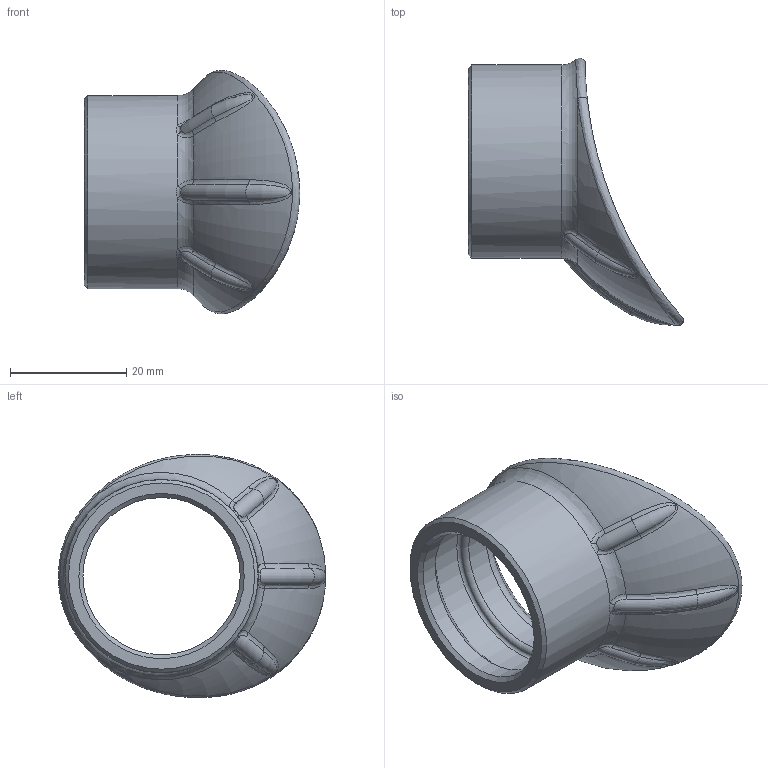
import cadquery as cq
import math

tube_radius = 16.65
tube_chamfer = 0.6

bore_radius = 13.55
lip_chamfer = 0.7
lip_end = 3.65
seat_radius = 15.0
seat_end = 10.9
seat_corner_radius = 0.55
bore_end = 16.0

neck_start = 16.1
neck_angle = math.radians(47.65)
neck_fillet = 3.75
flare_radius = 35.7
flare_thickness = 1.4
flare_sweep = math.radians(45)

saddle_radius = 68.0
saddle_x = 20.19
saddle_y = 18.0
rim_fillet = 1.0

rib_radius = 1.6
rib_height = 1.15
rib_base_fillet = 1.0
rib_start_slope = math.radians(58)
rib_dive_radius = 14.5
middle_rib_dive_x = 28.6
side_rib_dive_x = 22.9
rib_dive_sweep = math.radians(40)
side_rib_angle = 40.0

neck_end = (
    neck_start + neck_fillet * math.sin(neck_angle),
    tube_radius + neck_fillet * (1 - math.cos(neck_angle)),
)
flare_center = (
    neck_end[0] + flare_radius * math.sin(neck_angle),
    neck_end[1] - flare_radius * math.cos(neck_angle),
)
rib_path_radius = flare_radius + rib_height - rib_radius
flare_end_angle = neck_angle - flare_sweep


def arc_point(center, radius, slope):
    """Point of a circle where its tangent has the given slope; a negative radius takes the lower side."""
    return (center[0] - radius * math.sin(slope), center[1] + radius * math.cos(slope))


def revolve_about_x(profile):
    return profile.close().revolve(360, (0, 0, 0), (1, 0, 0))


def make_outside():
    """Solid of the tube, the neck fillet and the flare, without the bore."""
    neck_center = (neck_start, tube_radius + neck_fillet)
    neck_middle = arc_point(neck_center, -neck_fillet, neck_angle / 2)
    flare_middle = arc_point(flare_center, flare_radius, neck_angle - flare_sweep / 2)
    flare_end = arc_point(flare_center, flare_radius, flare_end_angle)
    profile = (
        cq.Workplane("XY")
        .lineTo(0, tube_radius - tube_chamfer)
        .lineTo(tube_chamfer, tube_radius)
        .lineTo(neck_start, tube_radius)
        .threePointArc(neck_middle, neck_end)
        .threePointArc(flare_middle, flare_end)
        .lineTo(flare_end[0], 0)
    )
    return revolve_about_x(profile)


def make_saddle():
    return (
        cq.Workplane("XY")
        .center(saddle_x + saddle_radius, saddle_y)
        .circle(saddle_radius)
        .extrude(saddle_radius, both=True)
    )


def make_rib(dive_x, angle):
    """Round bar along the flare; it dives below the surface from dive_x on."""
    dive_slope = math.asin((flare_center[0] - dive_x) / rib_path_radius)
    end_slope = dive_slope - rib_dive_sweep
    start = arc_point(flare_center, rib_path_radius, rib_start_slope)
    middle = arc_point(flare_center, rib_path_radius, (rib_start_slope + dive_slope) / 2)
    dive = arc_point(flare_center, rib_path_radius, dive_slope)
    dive_center = arc_point(dive, -rib_dive_radius, dive_slope)
    dive_middle = arc_point(dive_center, rib_dive_radius, dive_slope - rib_dive_sweep / 2)
    end = arc_point(dive_center, rib_dive_radius, end_slope)
    path = cq.Workplane("XY").moveTo(*start).threePointArc(middle, dive).threePointArc(dive_middle, end)
    section_plane = cq.Plane(
        origin=(start[0], start[1], 0),
        xDir=(0, 0, 1),
        normal=(math.cos(rib_start_slope), math.sin(rib_start_slope), 0),
    )
    rib = cq.Workplane(section_plane).circle(rib_radius).sweep(path)
    return rib.rotate((0, 0, 0), (1, 0, 0), 180 + angle)


def make_bore():
    """Space inside the part: lip chamfer, seat, through bore and the inside of the flare."""
    inner_radius = flare_radius - flare_thickness
    offset_x = flare_center[0] - bore_end
    offset_r = bore_radius - flare_center[1]
    mouth_radius = (offset_x**2 + offset_r**2 - inner_radius**2) / (2 * (inner_radius - offset_r))
    mouth_center = (bore_end, bore_radius + mouth_radius)
    mouth_angle = math.asin(offset_x / (inner_radius + mouth_radius))
    mouth_middle = arc_point(mouth_center, -mouth_radius, mouth_angle / 2)
    mouth_end = arc_point(mouth_center, -mouth_radius, mouth_angle)
    flare_middle = arc_point(flare_center, inner_radius, (mouth_angle + flare_end_angle) / 2)
    flare_end = arc_point(flare_center, inner_radius, flare_end_angle)

    seat_step = seat_radius - bore_radius
    shoulder_radius = seat_step - seat_corner_radius
    corner_center = (seat_end - seat_corner_radius, seat_radius - seat_corner_radius)
    corner_middle = arc_point(corner_center, seat_corner_radius, math.radians(-45))
    shoulder_center = (seat_end + shoulder_radius, bore_radius + shoulder_radius)
    shoulder_middle = arc_point(shoulder_center, -shoulder_radius, math.radians(-45))
    profile = (
        cq.Workplane("XY")
        .lineTo(0, bore_radius + lip_chamfer)
        .lineTo(lip_chamfer, bore_radius)
        .lineTo(lip_end, bore_radius)
        .lineTo(lip_end + seat_step, seat_radius)
        .lineTo(corner_center[0], seat_radius)
        .threePointArc(corner_middle, (seat_end, corner_center[1]))
        .threePointArc(shoulder_middle, (shoulder_center[0], bore_radius))
        .lineTo(bore_end, bore_radius)
        .threePointArc(mouth_middle, mouth_end)
        .threePointArc(flare_middle, flare_end)
        .lineTo(flare_end[0], 0)
    )
    return revolve_about_x(profile)


def make_ribbed_outside():
    """Outside solid with the ribs blended in; the rib outlines are its only free-form edges."""
    ribbed = make_outside()
    ribbed = ribbed.union(make_rib(middle_rib_dive_x, 0))
    for angle in (side_rib_angle, -side_rib_angle):
        ribbed = ribbed.union(make_rib(side_rib_dive_x, angle))
    return ribbed.edges("%BSPLINE").fillet(rib_base_fillet)


def round_rim(body):
    """Round the edge where the flare meets the saddle face."""
    saddle_face = body.faces("%CYLINDER").faces(">X")
    return saddle_face.edges().fillet(rim_fillet)


trimmed = make_ribbed_outside().cut(make_saddle())
result = round_rim(trimmed).cut(make_bore())